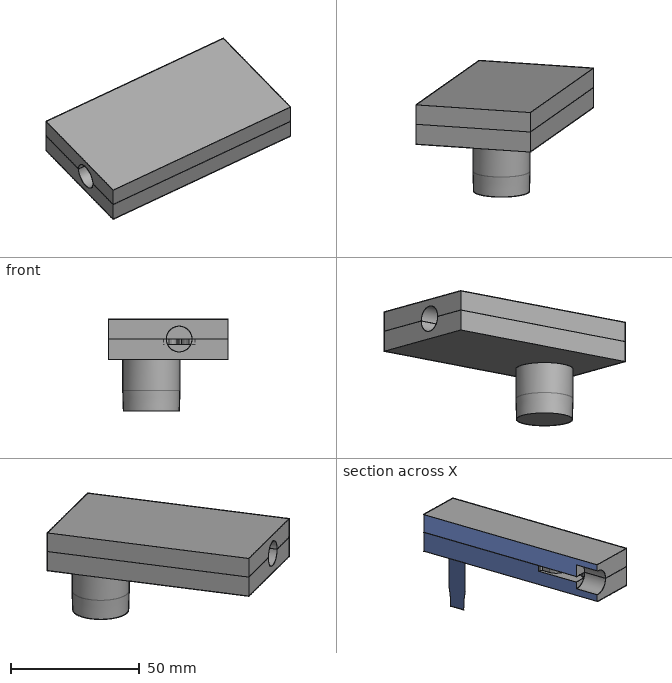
import cadquery as cq
import math

plate_width = 46.5
plate_length = 83.0
upper_thickness = 7.7
lower_thickness = 8.0

bore_diameter = 10.0
bore_x = 4.2
bore_depth = 10.0
bore_start_y = -plate_length / 2
bore_end_y = bore_start_y + bore_depth

recess_depth = 2.15
chamber_diameter = 12.3
chamber_mouth = 7.7
flare_radius = 4.3
channel_width = 1.8
channel_length = 3.3
right_end_angle = 28.0
left_end_angle = 52.0

post_diameter = 22.25
post_tip_diameter = 21.75
shank_length = 11.95
tip_length = 8.05
post_margin_x = 5.6
post_margin_y = 4.9
post_x = -plate_width / 2 + post_margin_x + post_diameter / 2
post_y = plate_length / 2 - post_margin_y - post_diameter / 2


def make_plate(bottom_z, thickness):
    """Rectangular plate with its share of the cable bore cut away."""
    plate = (
        cq.Workplane("XY", origin=(0, 0, bottom_z))
        .box(plate_width, plate_length, thickness, centered=(True, True, False))
    )
    bore = (
        cq.Workplane("XZ", origin=(bore_x, bore_start_y, 0))
        .circle(bore_diameter / 2)
        .extrude(-bore_depth)
    )
    return plate.cut(bore)


def make_cable_recess():
    """Round chamber opening into the bore, narrowing through a flare to a channel."""
    chamber_radius = chamber_diameter / 2
    half_mouth = chamber_mouth / 2
    half_channel = channel_width / 2

    chamber_y = bore_end_y + math.sqrt(chamber_radius**2 - half_mouth**2)

    flare_x = half_channel + flare_radius
    centre_distance = chamber_radius + flare_radius
    flare_rise = math.sqrt(centre_distance**2 - flare_x**2)
    flare_y = chamber_y + flare_rise
    tangent_x = flare_x * chamber_radius / centre_distance
    tangent_y = chamber_y + flare_rise * chamber_radius / centre_distance
    start_angle = math.atan2(-flare_rise, -flare_x)
    middle_angle = (start_angle - math.pi) / 2
    flare_middle_x = flare_x + flare_radius * math.cos(middle_angle)
    flare_middle_y = flare_y + flare_radius * math.sin(middle_angle)

    right_end_y = flare_y + channel_length
    middle_end_y = right_end_y + half_channel * math.tan(math.radians(right_end_angle))
    left_end_y = middle_end_y + half_channel * math.tan(math.radians(left_end_angle))

    return (
        cq.Workplane("XY", origin=(bore_x, 0, 0))
        .moveTo(-half_mouth, bore_end_y)
        .lineTo(half_mouth, bore_end_y)
        .threePointArc((chamber_radius, chamber_y), (tangent_x, tangent_y))
        .threePointArc((flare_middle_x, flare_middle_y), (half_channel, flare_y))
        .lineTo(half_channel, right_end_y)
        .lineTo(0, middle_end_y)
        .lineTo(-half_channel, left_end_y)
        .lineTo(-half_channel, flare_y)
        .threePointArc((-flare_middle_x, flare_middle_y), (-tangent_x, tangent_y))
        .threePointArc((-chamber_radius, chamber_y), (-half_mouth, bore_end_y))
        .close()
        .extrude(-recess_depth)
    )


def make_post():
    """Solid round post; its tip narrows as a cone."""
    shank_end_z = -lower_thickness - shank_length
    tip_end_z = shank_end_z - tip_length
    profile = (
        cq.Workplane("XZ", origin=(post_x, post_y, 0))
        .moveTo(0, -lower_thickness)
        .lineTo(post_diameter / 2, -lower_thickness)
        .lineTo(post_diameter / 2, shank_end_z)
        .lineTo(post_tip_diameter / 2, tip_end_z)
        .lineTo(0, tip_end_z)
        .close()
    )
    return profile.revolve(360, (0, 0, 0), (0, 1, 0))


upper_plate = make_plate(0, upper_thickness)
lower_plate = make_plate(-lower_thickness, lower_thickness).cut(make_cable_recess())
post = make_post()

result = cq.Compound.makeCompound([upper_plate.val(), lower_plate.val(), post.val()])